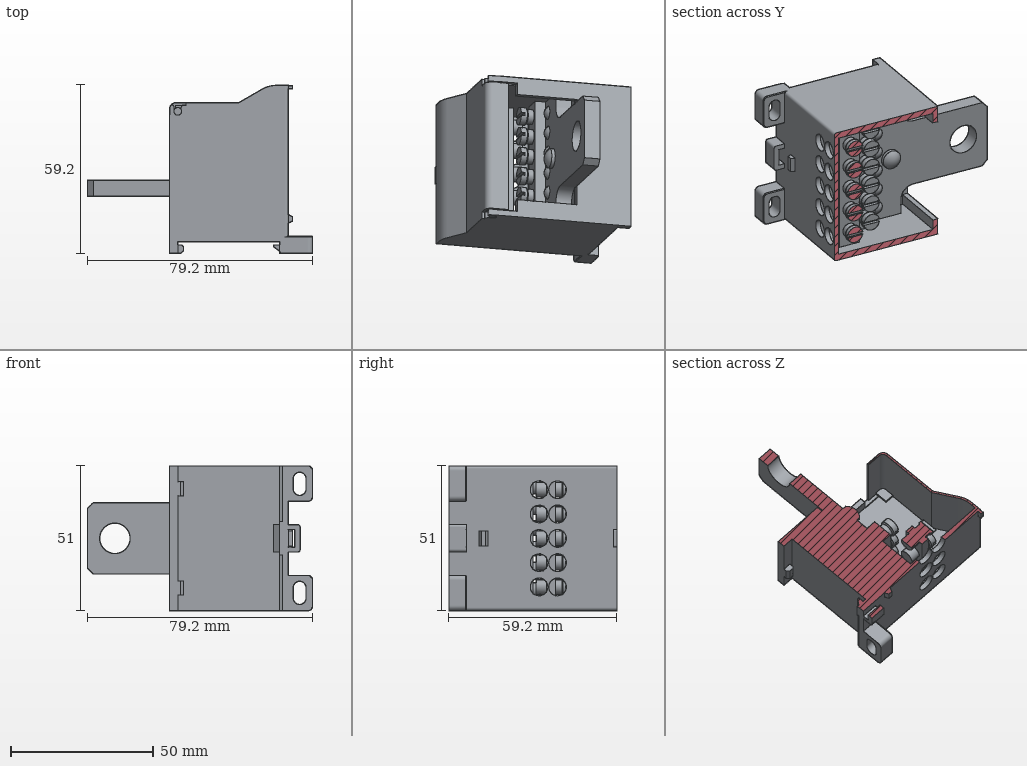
import cadquery as cq
import math


WIDTH = 51.0
DEPTH = 41.8
HEIGHT = 59.2
DECK_Y = 53.1
RAMP_START_X = 24.4
RAMP_ANGLE = math.radians(30)
CREST_RADIUS = 9.9
FRONT_WALL = 2.05
BACK_WALL = 1.9
ROOF = 0.95
CAVITY_WIDTH = 45.9
BACK_EDGE_RADIUS = 1.1

RECESS_Y = 4.1
FRONT_FOOT_X = 2.9
REAR_FOOT_X = 38.7
FOOT_BEVEL_X = 1.0
FOOT_BEVEL_Y = 0.4
CLIP_HEIGHT = 3.0
CLIP_REACH = 2.05
CLIP_LOWER_CHAMFER = 1.0
CLIP_UPPER_CHAMFER = 0.6
FRONT_CLIP_Z = 17.4
FRONT_CLIP_WIDTH = 5.0
LATCH_WIDTH = 9.7
LATCH_TIP = 0.7

LUG_HEIGHT = 6.1
LUG_EDGE = 0.3
LUG_END_X = 50.4
LUG_WIDTH = 12.5
LUG_RADIUS = 1.75
LUG_SLOT_X = 45.8
LUG_SLOT_Z = 19.2
LUG_SLOT_LENGTH = 8.1
LUG_SLOT_WIDTH = 4.4
EYE_END_X = 46.0
EYE_RADIUS = 0.95
EYE_HOLE_X = 44.0
EYE_HOLE_WIDTH = 6.2

CATCH_REACH = 1.5
LOWER_CATCH_Y = 10.6
LOWER_CATCH_HEIGHT = 3.1
LOWER_CATCH_WIDTH = 5.2
UPPER_CATCH_Y = 57.9
UPPER_CATCH_HEIGHT = 1.1
UPPER_CATCH_WIDTH = 6.2
UPPER_CATCH_RADIUS = 0.55

WINDOW_BOTTOM = 19.95
WINDOW_WIDTH = 38.5
COVER_OPENING_Y = 41.8
COVER_OPENING_WIDTH = 46.9
COVER_BOTTOM = 45.0
COVER_WIDTH = 46.25
COVER_THICKNESS = 0.8
COVER_RADIUS = 2.4
COVER_LENGTH = 7.9
CHEEK_THICKNESS = 0.8
PIN_X = 2.9
PIN_Y = 50.0
PIN_RADIUS = 1.35
PIN_RECESS = 0.15
FINGER_TOP = 52.2
FINGER_SETBACK = 0.2
FINGER_TAPER_START = 48.1
FINGER_TAPER_END = 49.8
NOTCH_STEP_Y = 52.2
NOTCH_STEP_X = 4.6
NOTCH_END_X = 5.8

BAR_BOTTOM = 20.1
BAR_THICKNESS = 5.7
BAR_TOP = BAR_BOTTOM + BAR_THICKNESS
TONGUE_TIP_X = -28.8
TONGUE_WIDTH = 25.2
TONGUE_CHAMFER = 2.05
TONGUE_HOLE_X = -19.2
TONGUE_HOLE_RADIUS = 5.3
FLARE_X = 1.0
FLARE_RADIUS = 5.0

STEP_LENGTH = 7.9
LOW_STEP_X = 22.6
LOW_STEP_TOP = 29.6
HIGH_STEP_X = 33.3
HIGH_STEP_BOTTOM = 34.4
HIGH_STEP_TOP = 37.55
HIGH_SCREW_TIP = 30.65
LOW_SCREWS = 6
LOW_PITCH = 7.3
HIGH_SCREWS = 5
HIGH_PITCH = 8.55
SHANK_RADIUS = 2.6
HEAD_RADIUS = 3.1
SCREW_RISE = 4.8
HEAD_HEIGHT = 2.2
HEAD_NECK = 0.5
SCREW_SLOT_WIDTH = 1.0
SCREW_SLOT_DEPTH = 1.3
STUD_X = 15.85
STUD_RADIUS = 2.4
STUD_HEIGHT = 1.3
BOLT_X = 10.3
BOLT_RADIUS = 3.5
BOLT_RIM = 1.3
BOLT_HEIGHT = 2.85
WIRE_RADIUS = 3.1
LOWER_WIRE_Y = 31.7
UPPER_WIRE_Y = 38.2


def box(x0, x1, y0, y1, width, z=0):
    """Block between two X and two Y limits, centred on z."""
    centre = ((x0 + x1) / 2, (y0 + y1) / 2, z)
    return cq.Workplane("XY").box(x1 - x0, y1 - y0, width).translate(centre)


def prism(points, width, z=0):
    """Closed XY outline, extruded along Z and centred on z."""
    return cq.Workplane("XY").polyline(points).close().extrude(width / 2, both=True).translate((0, 0, z))


def turned(profile, x, y, z):
    """Profile of (radius, height) points turned about a Y-parallel axis."""
    solid = cq.Workplane("XY").polyline(profile).close().revolve(360, (0, 0), (0, 1))
    return solid.translate((x, y, z))


def dome(radius, height):
    """Spherical cap on a round base, rising along Y from the origin."""
    ball_radius = (radius**2 + height**2) / (2 * height)
    half_angle = math.asin(radius / ball_radius) / 2
    middle = (
        ball_radius * math.sin(half_angle),
        height - ball_radius * (1 - math.cos(half_angle)),
    )
    return (
        cq.Workplane("XY")
        .lineTo(radius, 0)
        .threePointArc(middle, (0, height))
        .close()
        .revolve(360, (0, 0), (0, 1))
    )


def row(count, pitch):
    """Z places of evenly spaced items, centred on the mid-plane."""
    return [(i - (count - 1) / 2) * pitch for i in range(count)]


def upper_profile(inset):
    """Deck, ramp and rounded crest, set inward by a wall thickness, from front to back."""
    rise = HEIGHT - DECK_Y
    crest_drop = CREST_RADIUS * (1 - math.cos(RAMP_ANGLE))
    ramp_end_x = RAMP_START_X + (rise - crest_drop) / math.tan(RAMP_ANGLE)
    centre_x = ramp_end_x + CREST_RADIUS * math.sin(RAMP_ANGLE)
    centre_y = HEIGHT - CREST_RADIUS
    radius = CREST_RADIUS - inset

    def on_crest(angle):
        return (centre_x - radius * math.sin(angle), centre_y + radius * math.cos(angle))

    deck_end = (RAMP_START_X + inset * math.tan(RAMP_ANGLE / 2), DECK_Y - inset)
    return deck_end, on_crest(RAMP_ANGLE), on_crest(RAMP_ANGLE / 2), on_crest(0)


def shell_solid(x0, x1, bottom, inset, width):
    """Solid under the (inset) roof line between two X limits."""
    deck_end, ramp_end, crest_mid, crest_end = upper_profile(inset)
    return (
        cq.Workplane("XY")
        .moveTo(x0, bottom)
        .lineTo(x0, DECK_Y - inset)
        .lineTo(*deck_end)
        .lineTo(*ramp_end)
        .threePointArc(crest_mid, crest_end)
        .lineTo(x1, HEIGHT - inset)
        .lineTo(x1, bottom)
        .close()
        .extrude(width / 2, both=True)
    )


def housing():
    """Hollow shell with the rail recess, the front window and the cover opening."""
    body = shell_solid(0, DEPTH, 0, 0, WIDTH)
    body = body.edges(">X and |Y").fillet(BACK_EDGE_RADIUS)
    body = body.cut(box(FRONT_FOOT_X, REAR_FOOT_X, 0, RECESS_Y, WIDTH))
    body = body.cut(shell_solid(FRONT_WALL, DEPTH - BACK_WALL, BAR_BOTTOM, ROOF, CAVITY_WIDTH))
    body = body.cut(box(0, FRONT_WALL, WINDOW_BOTTOM, HEIGHT, WINDOW_WIDTH))
    body = body.cut(box(0, FRONT_WALL, COVER_OPENING_Y, HEIGHT, COVER_OPENING_WIDTH))
    return body.cut(box(0, NOTCH_END_X, DECK_Y - ROOF, HEIGHT, COVER_OPENING_WIDTH))


def hinge_notches():
    """Openings in the side walls above the hinge pins, behind a rounded front finger."""
    finger_x = PIN_X - PIN_RADIUS
    rear_x = PIN_X + PIN_RADIUS * math.cos(math.radians(45))
    rear_y = PIN_Y + PIN_RADIUS * math.sin(math.radians(45))
    finger_radius = (finger_x - FINGER_SETBACK) / 2
    finger_start = FINGER_TOP - finger_radius
    notch = (
        cq.Workplane("XY")
        .moveTo(0, FINGER_TAPER_START)
        .lineTo(FINGER_SETBACK, FINGER_TAPER_END)
        .lineTo(FINGER_SETBACK, finger_start)
        .threePointArc((FINGER_SETBACK + finger_radius, FINGER_TOP), (finger_x, finger_start))
        .lineTo(finger_x, PIN_Y)
        .lineTo(PIN_X, PIN_Y)
        .lineTo(rear_x, rear_y)
        .lineTo(NOTCH_STEP_X, NOTCH_STEP_Y)
        .lineTo(NOTCH_END_X, NOTCH_STEP_Y)
        .lineTo(NOTCH_END_X, HEIGHT)
        .lineTo(0, HEIGHT)
        .close()
        .extrude(WIDTH / 2, both=True)
    )
    bore = cq.Workplane("XY").center(PIN_X, PIN_Y).circle(PIN_RADIUS).extrude(WIDTH / 2, both=True)
    return notch.union(bore).cut(box(0, COVER_LENGTH, 0, HEIGHT, COVER_OPENING_WIDTH))


def cover():
    """Front cover, bent over the deck, with its hinge pins on two side cheeks."""
    outer = box(0, COVER_LENGTH, COVER_BOTTOM, DECK_Y, COVER_WIDTH)
    outer = outer.edges("<X and >Y").fillet(COVER_RADIUS)
    inner = box(COVER_THICKNESS, COVER_LENGTH, COVER_BOTTOM, DECK_Y - ROOF, COVER_WIDTH)
    inner = inner.edges("<X and >Y").fillet(COVER_RADIUS - COVER_THICKNESS)
    pin_end = WIDTH / 2 - PIN_RECESS
    pin = cq.Workplane("XY").center(PIN_X, PIN_Y).circle(PIN_RADIUS).extrude(pin_end, both=True)
    cheek_bottom = PIN_Y - PIN_RADIUS
    cheek = box(COVER_THICKNESS, NOTCH_END_X, cheek_bottom, DECK_Y - ROOF, COVER_WIDTH)
    between_cheeks = box(0, COVER_LENGTH, 0, DECK_Y - ROOF, COVER_WIDTH - 2 * CHEEK_THICKNESS)
    return outer.cut(inner).union(cheek.union(pin).cut(between_cheeks))


def front_clip(z):
    clip = box(0, FRONT_FOOT_X + CLIP_REACH, 0, CLIP_HEIGHT, FRONT_CLIP_WIDTH, z)
    clip = clip.edges(">X and <Y").chamfer(CLIP_LOWER_CHAMFER)
    return clip.faces(">Y").edges(">X").chamfer(CLIP_UPPER_CHAMFER)


def rear_latch():
    toe_x = REAR_FOOT_X + FOOT_BEVEL_X
    tip_x = REAR_FOOT_X - CLIP_REACH
    outline = [
        (toe_x, 0),
        (tip_x, CLIP_HEIGHT - LATCH_TIP),
        (tip_x, CLIP_HEIGHT),
        (toe_x, CLIP_HEIGHT),
    ]
    return prism(outline, LATCH_WIDTH)


def foot_bevel():
    """Wedge taken off the lower front edge of the rear foot, clear of the latch."""
    toe_x = REAR_FOOT_X + FOOT_BEVEL_X
    wedge = prism([(REAR_FOOT_X, 0), (toe_x, 0), (REAR_FOOT_X, FOOT_BEVEL_Y)], WIDTH)
    return wedge.cut(box(REAR_FOOT_X, toe_x, 0, FOOT_BEVEL_Y, LATCH_WIDTH + 2 * FOOT_BEVEL_X))


def corner_lug(side):
    start_x = DEPTH - BACK_EDGE_RADIUS
    lug = box(start_x, LUG_END_X, 0, LUG_HEIGHT, LUG_WIDTH, side * (WIDTH - LUG_WIDTH) / 2)
    lug = lug.edges(">X and |Y").fillet(LUG_RADIUS)
    lug = lug.faces(">Y").edges().chamfer(LUG_EDGE)
    slot = (
        cq.Workplane("XZ")
        .center(LUG_SLOT_X, side * LUG_SLOT_Z)
        .slot2D(LUG_SLOT_LENGTH, LUG_SLOT_WIDTH, 90)
        .extrude(-LUG_HEIGHT)
    )
    return lug.cut(slot)


def centre_eye():
    eye = box(DEPTH, EYE_END_X, 0, LUG_HEIGHT, LATCH_WIDTH)
    eye = eye.edges(">X and |Y").fillet(EYE_RADIUS)
    return eye.cut(box(DEPTH, EYE_HOLE_X, 0, LUG_HEIGHT, EYE_HOLE_WIDTH))


def back_catches():
    tip_x = DEPTH + CATCH_REACH
    ramp = LOWER_CATCH_HEIGHT / 4
    outline = [
        (DEPTH, LOWER_CATCH_Y),
        (tip_x, LOWER_CATCH_Y + ramp),
        (tip_x, LOWER_CATCH_Y + LOWER_CATCH_HEIGHT - ramp),
        (DEPTH, LOWER_CATCH_Y + LOWER_CATCH_HEIGHT),
    ]
    lower = prism(outline, LOWER_CATCH_WIDTH)
    top = UPPER_CATCH_Y + UPPER_CATCH_HEIGHT
    upper = box(DEPTH, tip_x, UPPER_CATCH_Y, top, UPPER_CATCH_WIDTH)
    return lower.union(upper.edges(">X and |Y").fillet(UPPER_CATCH_RADIUS))


def conductor_bar():
    shoulder_x = FLARE_X + FLARE_RADIUS
    back_x = DEPTH - BACK_WALL
    tongue = box(TONGUE_TIP_X, shoulder_x, BAR_BOTTOM, BAR_TOP, TONGUE_WIDTH)
    tongue = tongue.edges("<X and |Y").chamfer(TONGUE_CHAMFER)
    bar = tongue.union(box(shoulder_x, back_x, BAR_BOTTOM, BAR_TOP, CAVITY_WIDTH))
    for side in (-1, 1):
        flare_z = side * (TONGUE_WIDTH + FLARE_RADIUS) / 2
        flare = box(FLARE_X, shoulder_x, BAR_BOTTOM, BAR_TOP, FLARE_RADIUS, flare_z)
        relief = (
            cq.Workplane("XZ", origin=(0, BAR_BOTTOM, 0))
            .center(FLARE_X, side * (TONGUE_WIDTH / 2 + FLARE_RADIUS))
            .circle(FLARE_RADIUS)
            .extrude(-BAR_THICKNESS)
        )
        bar = bar.union(flare.cut(relief))
    hole = (
        cq.Workplane("XZ", origin=(0, BAR_BOTTOM, 0))
        .center(TONGUE_HOLE_X, 0)
        .circle(TONGUE_HOLE_RADIUS)
        .extrude(-BAR_THICKNESS)
    )
    return bar.cut(hole)


def step(x, bottom, top):
    return box(x - STEP_LENGTH / 2, x + STEP_LENGTH / 2, bottom, top, CAVITY_WIDTH)


def screw(x, seat, z):
    """Slotted cylinder-head screw standing on a step at height seat."""
    neck_top = SCREW_RISE - HEAD_HEIGHT
    profile = [
        (0, 0),
        (SHANK_RADIUS, 0),
        (SHANK_RADIUS, neck_top - HEAD_NECK),
        (HEAD_RADIUS, neck_top),
        (HEAD_RADIUS, SCREW_RISE),
        (0, SCREW_RISE),
    ]
    head_top = seat + SCREW_RISE
    slot = box(
        x - HEAD_RADIUS, x + HEAD_RADIUS, head_top - SCREW_SLOT_DEPTH, head_top, SCREW_SLOT_WIDTH, z
    )
    return turned(profile, x, seat, z).cut(slot)


def terminals():
    parts = step(LOW_STEP_X, BAR_TOP, LOW_STEP_TOP)
    parts = parts.union(step(HIGH_STEP_X, HIGH_STEP_BOTTOM, HIGH_STEP_TOP))
    for z in row(LOW_SCREWS, LOW_PITCH):
        parts = parts.union(screw(LOW_STEP_X, LOW_STEP_TOP, z))
        parts = parts.union(dome(STUD_RADIUS, STUD_HEIGHT).translate((STUD_X, BAR_TOP, z)))
    tip_length = HIGH_STEP_BOTTOM - HIGH_SCREW_TIP
    tip = [(0, 0), (SHANK_RADIUS, 0), (SHANK_RADIUS, tip_length), (0, tip_length)]
    for z in row(HIGH_SCREWS, HIGH_PITCH):
        parts = parts.union(screw(HIGH_STEP_X, HIGH_STEP_TOP, z))
        parts = parts.union(turned(tip, HIGH_STEP_X, HIGH_SCREW_TIP, z))
    return parts


def bar_bolt():
    """Dome-headed bolt on the bar."""
    rim = [(0, 0), (BOLT_RADIUS, 0), (BOLT_RADIUS, BOLT_RIM), (0, BOLT_RIM)]
    crown = dome(BOLT_RADIUS, BOLT_HEIGHT - BOLT_RIM)
    crown = crown.translate((BOLT_X, BAR_TOP + BOLT_RIM, 0))
    return turned(rim, BOLT_X, BAR_TOP, 0).union(crown)


def wire_entries():
    """Two rows of round wire holes through the back wall, in line with the high screws."""
    places = [(z, y) for y in (LOWER_WIRE_Y, UPPER_WIRE_Y) for z in row(HIGH_SCREWS, HIGH_PITCH)]
    return (
        cq.Workplane("ZY", origin=(DEPTH, 0, 0))
        .pushPoints(places)
        .circle(WIRE_RADIUS)
        .extrude(BACK_WALL)
    )


result = housing().cut(hinge_notches()).cut(foot_bevel()).cut(wire_entries())
result = result.union(cover()).union(rear_latch()).union(centre_eye()).union(back_catches())
for side in (-1, 1):
    result = result.union(front_clip(side * FRONT_CLIP_Z))
    result = result.union(corner_lug(side))
result = result.union(conductor_bar()).union(terminals()).union(bar_bolt())